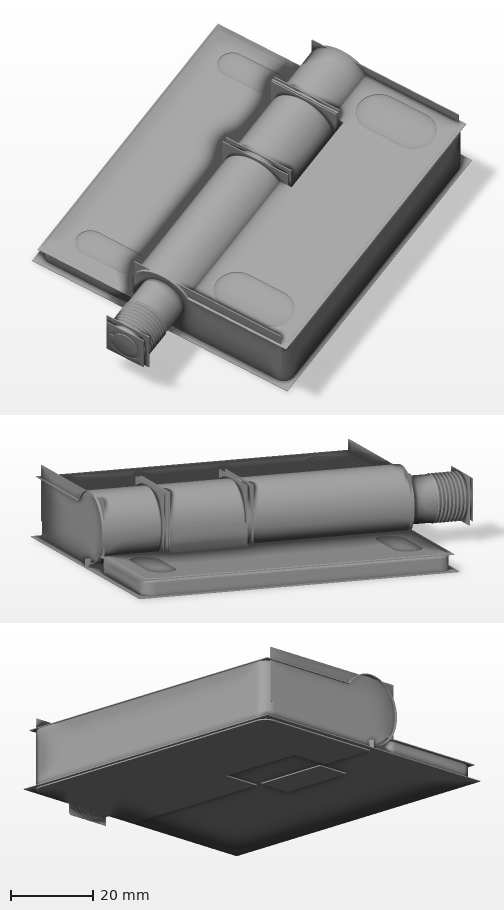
import cadquery as cq
import math


OVERALL_LENGTH = 98.75

AXIS_Z = 10.4
BARREL_R = 9.0
BARREL_OUTER_EDGE_R = 1.1
BARREL_INNER_EDGE_R = 0.7

LOWER_BARREL_TOP = 1.5
KNUCKLE_BOTTOM = 3.2
KNUCKLE_TOP = 23.2
WASHER_SPLIT = 23.9
UPPER_BARREL_BOTTOM = 24.9

PLATE_EDGE_X = 35.7
PLATE_HALF_Y = 40.0
CORNER_R = 3.0
EDGE_R = 1.0
HOUSING_H = 15.6
LEAF_INNER_X = -7.1
LEAF_BOTTOM = 0.3
LEAF_TOP = 4.7
LEAF_INNER_CORNER_R = 1.6
FOOT_R = 1.5
RECESS_WALL_X = 10.5

SHEET_T = 0.2
BASE_SHEET_X = 36.7
BASE_SHEET_HALF_Y = 41.6
LIP_TOP = 2.6
TOP_SHEET_HALF_Y = 40.6
TOP_SHEET_DROP = 0.1
END_SHEET_X = 34.0
END_SHEET_TOP = 18.7
WASHER_SHEET_HALF = 9.4

SLOT_DEPTH = 0.2
SLOT_PITCH_Y = 64.0
SLOT_MID_Y = -0.1
LEAF_SLOT_X = -20.5
LEAF_SLOT_L = 18.4
LEAF_SLOT_W = 7.4
HOUSING_SLOT_X = 21.1
HOUSING_SLOT_L = 21.2
HOUSING_SLOT_W = 11.4

CONNECTOR_R = 5.9
THREAD_CREST_R = 6.1
THREAD_ROOT_R = 5.5
THREAD_PITCH = 1.0
THREAD_RISE_L = THREAD_PITCH / 4
THREAD_TURNS = 8
THREAD_START_Y = -47.9
TIP_R = 5.3
TIP_Y = BASE_SHEET_HALF_Y - OVERALL_LENGTH
SOCKET_R = 4.6
INSERT_R = 3.5
SOCKET_DEPTH = 0.2
KEY_W = 2.5


def block(x0, x1, y0, y1, z0, z1):
    """A box given by its limits along X, Y and Z."""
    return cq.Workplane("XY").box(x1 - x0, y1 - y0, z1 - z0, centered=False).translate((x0, y0, z0))


def axis_plane(y):
    """A plane across the pivot axis at y, whose extrusions run toward +Y."""
    return cq.Workplane(cq.Plane(origin=(0, y, AXIS_Z), xDir=(-1, 0, 0), normal=(0, 1, 0)))


def disc(radius, y0, y1):
    """A cylinder on the pivot axis from y0 to y1."""
    return axis_plane(y0).circle(radius).extrude(y1 - y0)


def square_sheet(half_side, y):
    """A thin square sheet centred on the pivot axis, starting at y."""
    return axis_plane(y).rect(2 * half_side, 2 * half_side).extrude(SHEET_T)


def slot_pair(x, length, width, top):
    """Cutters for two shallow slots in a top face."""
    ends = [(x, SLOT_MID_Y - SLOT_PITCH_Y / 2), (x, SLOT_MID_Y + SLOT_PITCH_Y / 2)]
    plane = cq.Workplane("XY").workplane(offset=top - SLOT_DEPTH)
    return plane.pushPoints(ends).slot2D(length, width).extrude(SLOT_DEPTH)


def base_sheet(x0, x1):
    """The thin sheet around the foot of a plate."""
    return block(x0, x1, -BASE_SHEET_HALF_Y, BASE_SHEET_HALF_Y, LEAF_BOTTOM, LEAF_BOTTOM + SHEET_T)


def top_sheet(x0, x1, top):
    """The thin sheet just below a plate's top face, overhanging its two ends."""
    z1 = top - TOP_SHEET_DROP
    return block(x0, x1, -TOP_SHEET_HALF_Y, TOP_SHEET_HALF_Y, z1 - SHEET_T, z1)


def make_barrel(y0, y1, lower_edge_r, upper_edge_r):
    """A hinge barrel with its own edge radius at each end."""
    barrel = disc(BARREL_R, y0, y1)
    return barrel.faces("<Y").edges().fillet(lower_edge_r).faces(">Y").edges().fillet(upper_edge_r)


def make_knuckle():
    """The leaf's middle knuckle with its flat side and filleted foot."""
    length = KNUCKLE_TOP - KNUCKLE_BOTTOM
    bend = FOOT_R * (1 - 0.5**0.5)
    foot = (
        cq.Workplane("XZ", origin=(0, KNUCKLE_TOP, 0))
        .moveTo(0, 0)
        .lineTo(0, AXIS_Z)
        .lineTo(-BARREL_R, AXIS_Z)
        .lineTo(-BARREL_R, LEAF_TOP + FOOT_R)
        .threePointArc((-BARREL_R - bend, LEAF_TOP + bend), (-BARREL_R - FOOT_R, LEAF_TOP))
        .lineTo(-BARREL_R, LEAF_TOP - FOOT_R)
        .lineTo(-BARREL_R, 0)
        .close()
        .extrude(length)
    )
    barrel = make_barrel(KNUCKLE_BOTTOM, KNUCKLE_TOP, BARREL_INNER_EDGE_R, BARREL_INNER_EDGE_R)
    return barrel.union(foot)


def make_leaf():
    """The thin leaf with its knuckle."""
    plate = block(-PLATE_EDGE_X, LEAF_INNER_X, -PLATE_HALF_Y, PLATE_HALF_Y, LEAF_BOTTOM, LEAF_TOP)
    plate = plate.edges("|Z and <X").fillet(CORNER_R)
    plate = plate.edges("|Z and >X").fillet(LEAF_INNER_CORNER_R)
    plate = plate.faces(">Z").edges("not >X").fillet(EDGE_R)
    plate = plate.union(top_sheet(-PLATE_EDGE_X, LEAF_INNER_X, LEAF_TOP))
    plate = plate.cut(slot_pair(LEAF_SLOT_X, LEAF_SLOT_L, LEAF_SLOT_W, LEAF_TOP))
    return plate.union(make_knuckle()).union(base_sheet(-BASE_SHEET_X, 0))


def barrel_rims():
    """Thin rims round the outer barrel ends, where the barrels stand clear of the housing's body."""
    rims = disc(BARREL_R, -TOP_SHEET_HALF_Y, TOP_SHEET_HALF_Y)
    rims = rims.cut(disc(BARREL_R - SHEET_T, -TOP_SHEET_HALF_Y, TOP_SHEET_HALF_Y))
    inner_y = PLATE_HALF_Y - BARREL_OUTER_EDGE_R
    rims = rims.cut(block(-BARREL_R, BARREL_R, -inner_y, inner_y, 0, AXIS_Z + BARREL_R))
    sheet_bottom = HOUSING_H - TOP_SHEET_DROP - SHEET_T
    return rims.cut(block(0, BARREL_R, -TOP_SHEET_HALF_Y, TOP_SHEET_HALF_Y, 0, sheet_bottom))


def make_housing():
    """The thick housing with a barrel on each side of the knuckle recess."""
    body = block(0, PLATE_EDGE_X, -PLATE_HALF_Y, PLATE_HALF_Y, 0, HOUSING_H)
    body = body.edges("|Z and >X").fillet(CORNER_R)
    body = body.faces(">Z").edges("not <X").fillet(EDGE_R)

    barrel_meets_top_x = math.sqrt(BARREL_R**2 - (HOUSING_H - AXIS_Z) ** 2)
    body = body.union(top_sheet(barrel_meets_top_x, PLATE_EDGE_X, HOUSING_H))
    body = body.cut(slot_pair(HOUSING_SLOT_X, HOUSING_SLOT_L, HOUSING_SLOT_W, HOUSING_H))

    recess = block(0, RECESS_WALL_X, LOWER_BARREL_TOP, UPPER_BARREL_BOTTOM, 0, HOUSING_H)
    body = body.cut(recess)

    body = body.union(base_sheet(0, BASE_SHEET_X))
    for y0, y1 in ((-BASE_SHEET_HALF_Y, -PLATE_HALF_Y), (PLATE_HALF_Y, BASE_SHEET_HALF_Y)):
        body = body.union(block(0, SHEET_T, y0, y1, LEAF_BOTTOM, LIP_TOP))

    outer_r = BARREL_OUTER_EDGE_R
    inner_r = BARREL_INNER_EDGE_R
    body = body.union(make_barrel(-PLATE_HALF_Y, LOWER_BARREL_TOP, outer_r, inner_r))
    body = body.union(make_barrel(UPPER_BARREL_BOTTOM, PLATE_HALF_Y, inner_r, outer_r))
    body = body.union(barrel_rims())

    sheet_half = END_SHEET_TOP - AXIS_Z
    for y in (-PLATE_HALF_Y, PLATE_HALF_Y - SHEET_T):
        body = body.union(block(-sheet_half, END_SHEET_X, y, y + SHEET_T, LEAF_TOP, END_SHEET_TOP))
    return body


def make_washer(y0, y1):
    """A round washer with a thin square sheet on each face, ending at the leaf's top."""
    washer = disc(BARREL_R, y0, y1)
    below_leaf_top = block(-WASHER_SHEET_HALF, WASHER_SHEET_HALF, y0, y1, 0, LEAF_TOP)
    for y in (y0, y1 - SHEET_T):
        washer = washer.union(square_sheet(WASHER_SHEET_HALF, y).cut(below_leaf_top))
    return washer


def make_connector():
    """The threaded connector on the -Y end of the housing."""
    thread_end = THREAD_START_Y - THREAD_PITCH * THREAD_TURNS
    profile = cq.Workplane("XY").moveTo(0, -PLATE_HALF_Y).lineTo(CONNECTOR_R, -PLATE_HALF_Y)
    profile = profile.lineTo(CONNECTOR_R, THREAD_START_Y)
    for turn in range(THREAD_TURNS):
        start = THREAD_START_Y - turn * THREAD_PITCH
        profile = profile.lineTo(THREAD_CREST_R, start - THREAD_RISE_L)
        profile = profile.lineTo(THREAD_ROOT_R, start - THREAD_PITCH)
    profile = profile.lineTo(TIP_R, thread_end).lineTo(TIP_R, TIP_Y).lineTo(0, TIP_Y).close()
    connector = profile.revolve(360, (0, 0, 0), (0, 1, 0)).translate((0, 0, AXIS_Z))

    connector = connector.union(square_sheet(THREAD_CREST_R, thread_end - SHEET_T))
    connector = connector.union(square_sheet(TIP_R, TIP_Y))

    ring_end = TIP_Y + SOCKET_DEPTH
    ring = disc(SOCKET_R, TIP_Y, ring_end).cut(disc(INSERT_R, TIP_Y, ring_end))
    key = block(-SOCKET_R, 0, TIP_Y, ring_end, AXIS_Z - KEY_W / 2, AXIS_Z + KEY_W / 2)
    return connector.cut(ring.cut(key))


leaf = make_leaf()
housing = make_housing()
connector = make_connector()

washer_limits = [
    (LOWER_BARREL_TOP, KNUCKLE_BOTTOM),
    (KNUCKLE_TOP, WASHER_SPLIT),
    (WASHER_SPLIT, UPPER_BARREL_BOTTOM),
]
washers = [make_washer(y0, y1) for y0, y1 in washer_limits]

result = cq.Compound.makeCompound(
    [leaf.val(), housing.val(), connector.val(), *[washer.val() for washer in washers]]
)